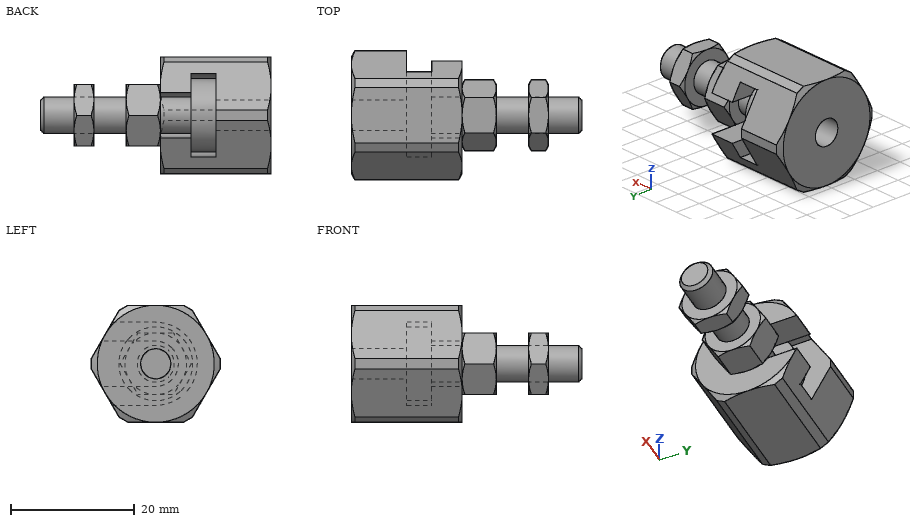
import cadquery as cq
import math

total_length = 37.5
housing_length = 18.0
housing_flats = 19.0
housing_corner_width = 21.0
housing_bore = 4.9
slot_floor_x = 9.0
lip_x = 13.05
head_slot_width = 13.5
neck_slot_width = 7.35
stud_diameter = 6.0
stud_tip_diameter = 4.8
head_diameter = 12.0
collar_length = 5.55
nut_flats = 10.0
nut_start = 28.8
nut_thickness = 3.22
bevel_angle = math.radians(30)

mid_x = total_length / 2
housing_start = -mid_x
housing_end = housing_start + housing_length


def hexagon(x, length, flats):
    """Hexagonal prism along X with corners on the Y axis."""
    corner_diameter = flats / math.cos(math.pi / 6)
    return cq.Workplane("YZ", origin=(x, 0, 0)).polygon(6, corner_diameter).extrude(length)


def cylinder(x, length, diameter):
    """Round rod along X."""
    return cq.Workplane("YZ", origin=(x, 0, 0)).circle(diameter / 2).extrude(length)


def beveled_hexagon(x, length, flats):
    """Hexagonal prism whose corners are turned off conically at both ends."""
    inner_radius = flats / 2
    outer_radius = inner_radius / math.cos(math.pi / 6)
    bevel = (outer_radius - inner_radius) * math.tan(bevel_angle)
    envelope = (
        cq.Workplane("XY")
        .polyline([
            (x, 0),
            (x, inner_radius),
            (x + bevel, outer_radius),
            (x + length - bevel, outer_radius),
            (x + length, inner_radius),
            (x + length, 0),
        ])
        .close()
        .revolve(360, (0, 0, 0), (1, 0, 0))
    )
    return hexagon(x, length, flats).intersect(envelope)


def side_slot(x, length, width):
    """Slot cutter with a round end on the axis, open toward +Y."""
    reach = housing_corner_width
    channel = cq.Workplane("XY").box(length, reach, width, centered=(False, False, True)).translate((x, 0, 0))
    return cylinder(x, length, width).union(channel)


def make_housing():
    """Hexagonal housing with trimmed corners, an end bore and a T-slot."""
    trim = hexagon(housing_start, housing_length, housing_corner_width).rotate((0, 0, 0), (1, 0, 0), 30)
    body = beveled_hexagon(housing_start, housing_length, housing_flats).intersect(trim)
    slot_start = housing_start + slot_floor_x
    lip_start = housing_start + lip_x
    bore = cylinder(housing_start, slot_floor_x, housing_bore)
    head_slot = side_slot(slot_start, lip_start - slot_start, head_slot_width)
    neck_slot = side_slot(lip_start, housing_end - lip_start, neck_slot_width)
    return body.cut(bore).cut(head_slot).cut(neck_slot)


def make_stud():
    """Stud with a round head in the T-slot, a hexagonal collar and a chamfered tip."""
    head_start = housing_start + slot_floor_x
    tip_chamfer = (stud_diameter - stud_tip_diameter) / 2
    shank = cylinder(head_start, mid_x - head_start, stud_diameter).faces(">X").chamfer(tip_chamfer)
    head = cylinder(head_start, lip_x - slot_floor_x, head_diameter)
    collar = beveled_hexagon(housing_end, collar_length, nut_flats)
    return shank.union(head).union(collar)


def make_lock_nut():
    """Hexagonal nut that fits around the stud."""
    nut_x = housing_start + nut_start
    nut = beveled_hexagon(nut_x, nut_thickness, nut_flats)
    return nut.cut(cylinder(nut_x, nut_thickness, stud_diameter))


housing = make_housing()
stud = make_stud()
lock_nut = make_lock_nut()
result = cq.Compound.makeCompound([housing.val(), stud.val(), lock_nut.val()])